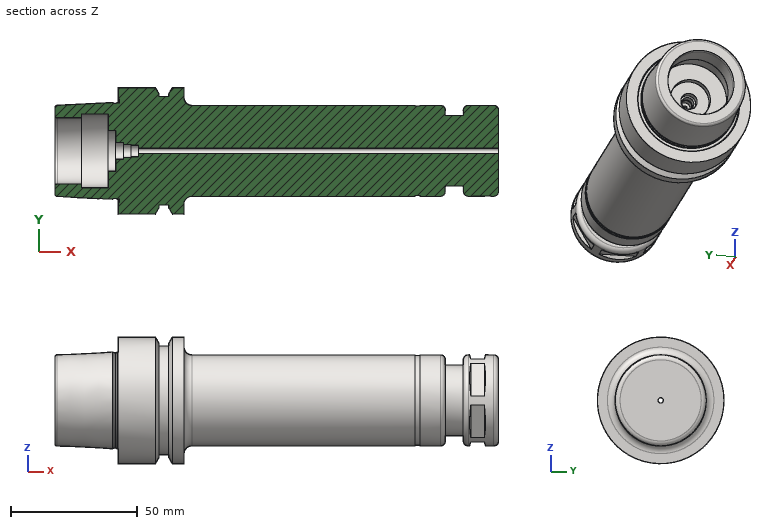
import cadquery as cq
import math

TAIL = -25.0
FLANGE_END = 26.0
BAND_START = 117.0
BAND_END = 119.0
SHANK_END = 129.0
NUT_START = 136.0
NOSE = 150.0

TAPER_TAIL_R = 18.0
TAPER_RATE = 0.05
TAIL_FILLET = 1.0

RELIEF_WIDTH = 2.2
RELIEF_RAMP = 0.6
RELIEF_FLOOR_WIDTH = 0.6
RELIEF_R = 18.8
COLLAR_R = 19.1
FACE_GROOVE_R = 20.5
FACE_GROOVE_DEPTH = 0.5
FACE_GROOVE_FLOOR_R = 20.2

FLANGE_R = 25.0
GROOVE_FLOOR_R = 21.5
GROOVE_WALL_R = 22.5
GROOVE_CENTER = 18.0
GROOVE_WIDTH = 3.75
GROOVE_FLANK_ANGLE = 30.0

BODY_R = 18.0
ROOT_FILLET = 3.0
BAND_R = 17.75
BODY_END_FILLET = 2.0
NECK_R = 14.0

NUT_R = 18.0
NUT_FILLET = 2.0
FLAT_COUNT = 6
FLAT_DISTANCE = 16.4
FLAT_START = 139.0
FLAT_END = 144.3
FLAT_WALL_FLARE = 0.5

BORE_R = 13.0
BORE_MOUTH_R = 13.3
BORE_MOUTH_LENGTH = 1.0
BORE_LIP_LENGTH = 10.6
CAVITY_R = 14.5
CAVITY_DEPTH = 21.0
STEP_RADII = (8.0, 3.25, 2.5, 2.25)
STEP_DEPTH = 3.0
COOLANT_R = 1.0


def cylinder(radius, start, end):
    return cq.Workplane("YZ", origin=(start, 0, 0)).circle(radius).extrude(end - start)


def revolve(outline):
    return outline.close().revolve(360, (0, 0, 0), (1, 0, 0))


def taper_shank():
    relief_start = -RELIEF_WIDTH
    floor_start = relief_start + RELIEF_RAMP
    floor_end = floor_start + RELIEF_FLOOR_WIDTH
    taper_end_r = TAPER_TAIL_R + TAPER_RATE * (relief_start - TAIL)
    outline = (
        cq.Workplane("XY")
        .moveTo(TAIL, 0)
        .lineTo(TAIL, TAPER_TAIL_R)
        .lineTo(relief_start, taper_end_r)
        .lineTo(floor_start, RELIEF_R)
        .lineTo(floor_end, RELIEF_R)
        .lineTo(floor_end + RELIEF_RAMP, COLLAR_R)
        .lineTo(FACE_GROOVE_DEPTH, COLLAR_R)
        .lineTo(FACE_GROOVE_DEPTH, 0)
    )
    return revolve(outline).faces("<X").edges().fillet(TAIL_FILLET)


def flange():
    flank_run = (FLANGE_R - GROOVE_WALL_R) * math.tan(math.radians(GROOVE_FLANK_ANGLE))
    floor_start = GROOVE_CENTER - GROOVE_WIDTH / 2
    floor_end = GROOVE_CENTER + GROOVE_WIDTH / 2
    outline = (
        cq.Workplane("XY")
        .moveTo(FACE_GROOVE_DEPTH, 0)
        .lineTo(FACE_GROOVE_DEPTH, FACE_GROOVE_FLOOR_R)
        .lineTo(0, FACE_GROOVE_R)
        .lineTo(0, FLANGE_R)
        .lineTo(floor_start - flank_run, FLANGE_R)
        .lineTo(floor_start, GROOVE_WALL_R)
        .lineTo(floor_start, GROOVE_FLOOR_R)
        .lineTo(floor_end, GROOVE_FLOOR_R)
        .lineTo(floor_end, GROOVE_WALL_R)
        .lineTo(floor_end + flank_run, FLANGE_R)
        .lineTo(FLANGE_END, FLANGE_R)
        .lineTo(FLANGE_END, 0)
    )
    return revolve(outline)


def body():
    outline = (
        cq.Workplane("XY")
        .moveTo(FLANGE_END, 0)
        .lineTo(FLANGE_END, BODY_R + ROOT_FILLET)
        .radiusArc((FLANGE_END + ROOT_FILLET, BODY_R), -ROOT_FILLET)
        .lineTo(BAND_START, BODY_R)
        .lineTo(BAND_START, BAND_R)
        .lineTo(BAND_END, BAND_R)
        .lineTo(BAND_END, BODY_R)
        .lineTo(SHANK_END, BODY_R)
        .lineTo(SHANK_END, 0)
    )
    return revolve(outline).faces(">X").edges().fillet(BODY_END_FILLET)


def flat_cutter():
    """Wedge-walled pocket tool over the +Z side, wider than the nut."""
    depth = NUT_R - FLAT_DISTANCE
    return (
        cq.Workplane("XZ", origin=(0, NUT_R, 0))
        .moveTo(FLAT_START, FLAT_DISTANCE)
        .lineTo(FLAT_END, FLAT_DISTANCE)
        .lineTo(FLAT_END + 2 * FLAT_WALL_FLARE, FLAT_DISTANCE + 2 * depth)
        .lineTo(FLAT_START - 2 * FLAT_WALL_FLARE, FLAT_DISTANCE + 2 * depth)
        .close()
        .extrude(2 * NUT_R)
    )


def nut():
    ring = cylinder(NUT_R, NUT_START, NOSE).edges().fillet(NUT_FILLET)
    for index in range(FLAT_COUNT):
        angle = index * 360 / FLAT_COUNT
        ring = ring.cut(flat_cutter().rotate((0, 0, 0), (1, 0, 0), angle))
    return ring


def bore():
    lip_end = TAIL + BORE_LIP_LENGTH
    floor = TAIL + CAVITY_DEPTH
    outline = (
        cq.Workplane("XY")
        .moveTo(TAIL, 0)
        .lineTo(TAIL, BORE_MOUTH_R)
        .lineTo(TAIL + BORE_MOUTH_LENGTH, BORE_R)
        .lineTo(lip_end, BORE_R)
        .lineTo(lip_end, CAVITY_R)
        .lineTo(floor, CAVITY_R)
        .lineTo(floor, 0)
    )
    cutter = revolve(outline).union(cylinder(COOLANT_R, TAIL, NOSE))
    for index, radius in enumerate(STEP_RADII):
        step_start = floor + index * STEP_DEPTH
        cutter = cutter.union(cylinder(radius, step_start, step_start + STEP_DEPTH))
    return cutter


neck = cylinder(NECK_R, SHANK_END, NUT_START)
result = taper_shank().union(flange()).union(body()).union(neck).union(nut()).cut(bore())